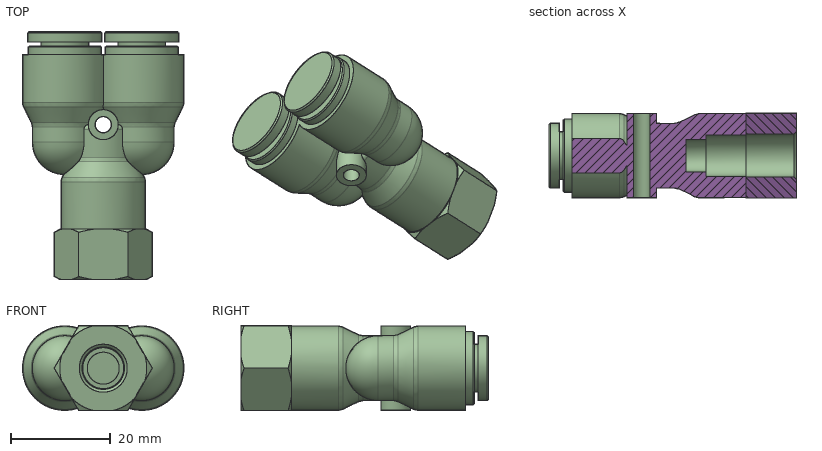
import cadquery as cq
import math


nut_across_flats = 17.0
nut_length = 10.1
nut_chamfer_diameter = 17.4
nut_chamfer_angle = 30.0
nut_bore_diameter = 8.5
countersink_diameter = 9.6

wide_radius = 16.9 / 2
narrow_radius = 13.0 / 2
inlet_wide_length = 9.9
outlet_wide_length = 10.0
cone_length = 4.0
cone_blend_radius = 2.0
inlet_narrow_length = 7.0
inlet_end_radius = 1.0
outlet_narrow_length = 10.0
outlet_end_radius = narrow_radius
outlet_offset = 7.7
outlet_face_y = 45.0

socket_diameter = 8.2
socket_depth = 8.0
passage_diameter = 6.4
passage_depth = 4.0

boss_diameter = 6.0
boss_hole_diameter = 3.2
boss_y = nut_length + inlet_wide_length + cone_length + inlet_narrow_length
boss_height = 2 * wide_radius

collar_diameter = 14.7
collar_length = 1.75
collar_chamfer = 0.25
stem_diameter = 9.6
button_gap = 0.75
button_width = 14.9
button_height = 13.0
button_thickness = 2.1
button_chamfer = 0.3

collar_face_y = outlet_face_y + collar_length
button_base_y = collar_face_y + button_gap
outlet_positions = [-outlet_offset, outlet_offset]


def section_at(x, y):
    """Workplane across the Y axis, centred on (x, y), extruding toward +Y."""
    return cq.Workplane(cq.Plane(origin=(x, y, 0), xDir=(1, 0, 0), normal=(0, 1, 0)))


def y_cylinder(diameter, length, x, y):
    """Cylinder along +Y that starts at (x, y)."""
    return section_at(x, y).circle(diameter / 2).extrude(length)


def rounded_barrel(wide_length, narrow_length, end_radius):
    """Barrel along +Y from Y = 0: wide part, blended cone, narrow part with a rounded end.

    An end radius equal to the narrow radius gives a half-sphere end.
    """
    cone_end = wide_length + cone_length
    barrel_end = cone_end + narrow_length
    round_start = barrel_end - end_radius
    flat_radius = narrow_radius - end_radius
    arc_offset = end_radius * math.sqrt(0.5)
    barrel = (
        cq.Workplane("XY")
        .lineTo(wide_radius, 0)
        .lineTo(wide_radius, wide_length)
        .lineTo(narrow_radius, cone_end)
        .lineTo(narrow_radius, round_start)
        .threePointArc((flat_radius + arc_offset, round_start + arc_offset), (flat_radius, barrel_end))
    )
    if flat_radius > 0:
        barrel = barrel.lineTo(0, barrel_end)
    barrel = barrel.close().revolve(360, (0, 0, 0), (0, 1, 0))
    margin = 0.1
    cone_edges = cq.selectors.BoxSelector(
        (-wide_radius, wide_length - margin, -wide_radius),
        (wide_radius, cone_end + margin, wide_radius),
    )
    return barrel.edges("%CIRCLE").edges(cone_edges).fillet(cone_blend_radius)


def make_housing():
    inlet = rounded_barrel(inlet_wide_length, inlet_narrow_length, inlet_end_radius)
    inlet = inlet.translate((0, nut_length, 0))
    outlet = rounded_barrel(outlet_wide_length, outlet_narrow_length, outlet_end_radius)
    outlet = outlet.rotate((0, 0, 0), (0, 0, 1), 180)
    boss = cq.Workplane("XY").center(0, boss_y).circle(boss_diameter / 2)
    boss_hole = cq.Workplane("XY").center(0, boss_y).circle(boss_hole_diameter / 2)

    housing = inlet
    for x in outlet_positions:
        housing = housing.union(outlet.translate((x, outlet_face_y, 0)))
    housing = housing.union(boss.extrude(boss_height / 2, both=True))
    housing = housing.cut(boss_hole.extrude(boss_height, both=True))
    housing = housing.cut(y_cylinder(socket_diameter, socket_depth, 0, nut_length))
    return housing.cut(y_cylinder(passage_diameter, passage_depth, 0, nut_length + socket_depth))


def make_nut():
    """Hexagonal nut with corners on the X axis, both ends turned to a cone."""
    corner_radius = nut_across_flats / math.sqrt(3)
    chamfer_radius = nut_chamfer_diameter / 2
    chamfer_length = (corner_radius - chamfer_radius) * math.tan(math.radians(nut_chamfer_angle))
    countersink_depth = (countersink_diameter - nut_bore_diameter) / 2

    hexagon = section_at(0, 0).polygon(6, 2 * corner_radius).extrude(nut_length)
    turned_blank = (
        cq.Workplane("XY")
        .lineTo(chamfer_radius, 0)
        .lineTo(corner_radius, chamfer_length)
        .lineTo(corner_radius, nut_length - chamfer_length)
        .lineTo(chamfer_radius, nut_length)
        .lineTo(0, nut_length)
        .close()
        .revolve(360, (0, 0, 0), (0, 1, 0))
    )
    nut = hexagon.intersect(turned_blank).cut(y_cylinder(nut_bore_diameter, nut_length, 0, 0))
    bore_edge = nut.faces("<Y").edges("%CIRCLE").edges(cq.selectors.RadiusNthSelector(0))
    return bore_edge.chamfer(countersink_depth)


def make_collar(x):
    """Ring seated on an outlet face, bored for the button stem."""
    collar = y_cylinder(collar_diameter, collar_length, x, outlet_face_y)
    collar = collar.faces(">Y").edges().chamfer(collar_chamfer)
    return collar.cut(y_cylinder(stem_diameter, collar_length, x, outlet_face_y))


def make_button(x):
    """Release button: oval head on a round stem that passes through the collar."""
    head = section_at(x, button_base_y).ellipse(button_width / 2, button_height / 2)
    head = head.extrude(button_thickness).faces(">Y").edges().chamfer(button_chamfer)
    return head.union(y_cylinder(stem_diameter, button_base_y - outlet_face_y, x, outlet_face_y))


housing = make_housing()
nut = make_nut()
collars = [make_collar(x) for x in outlet_positions]
buttons = [make_button(x) for x in outlet_positions]

bodies = [housing, nut] + collars + buttons
result = cq.Compound.makeCompound([body.solids().val() for body in bodies])